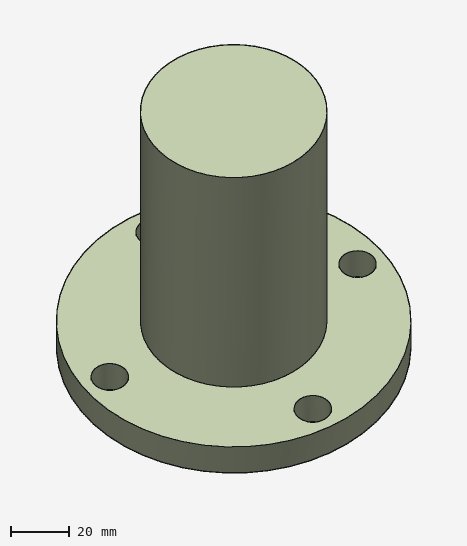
import cadquery as cq

flange_diameter = 120.65
flange_thickness = 12.7

post_diameter = 63.5
total_height = 114.3

bolt_hole_count = 4
bolt_hole_diameter = 12.7
bolt_circle_diameter = 100.0


def make_flange():
    """Round plate with its underside on Z = 0."""
    return cq.Workplane("XY").circle(flange_diameter / 2).extrude(flange_thickness)


def add_post(body):
    """Cylindrical post, concentric with the flange, rising to the full height."""
    post = cq.Workplane("XY").circle(post_diameter / 2).extrude(total_height)
    return body.union(post)


def cut_bolt_holes(body):
    """Through holes evenly spaced on the bolt circle, the first on the +X axis."""
    holes = (
        cq.Workplane("XY")
        .polarArray(bolt_circle_diameter / 2, 0, 360, bolt_hole_count)
        .circle(bolt_hole_diameter / 2)
        .extrude(flange_thickness)
    )
    return body.cut(holes)


result = cut_bolt_holes(add_post(make_flange()))